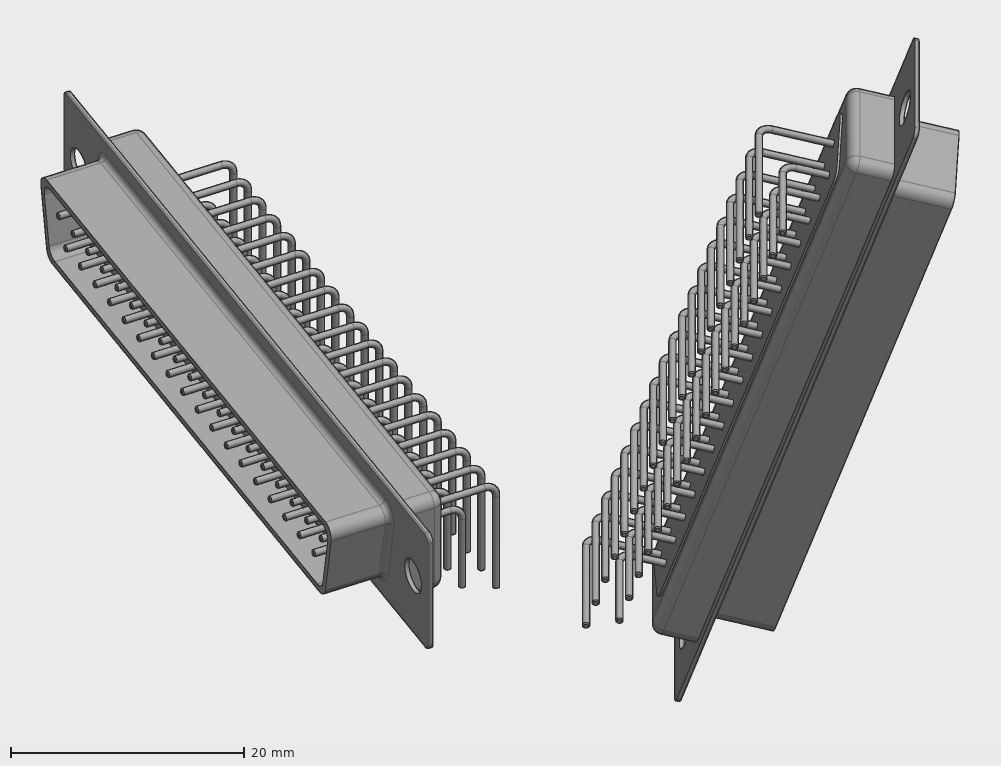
import cadquery as cq
import math

plate_length = 69.4
plate_height = 12.5
plate_thickness = 0.4
plate_corner_radius = 0.7
plate_edge_fillet = 0.15
mount_hole_diameter = 3.2
mount_hole_spacing = 63.5

shroud_depth = 5.75
shroud_height = 8.4
shroud_top_width = 55.6
shroud_side_angle = 10.0
shroud_corner_radius = 1.1
shroud_wall = 0.55
shroud_root_fillet = 0.55
cavity_depth = 3.7

housing_length = 57.7
housing_height = 10.3
housing_rear_y = 4.5
housing_corner_radius = 1.05
housing_rear_fillet = 1.0

insulator_step = 0.2

pin_diameter = 0.64
upper_pin_count = 19
upper_row_length = 49.9
row_spacing = 2.6
upper_row_z = 1.2
pin_tip_recess = 0.3
pin_end_chamfer = 0.105
pin_bend_radius = 1.2
overall_depth = 17.5
overall_height = 16.4

pin_radius = pin_diameter / 2
pin_pitch = upper_row_length / (upper_pin_count - 1)
pin_tip_y = pin_tip_recess - shroud_depth
upper_leg_y = overall_depth - shroud_depth - pin_radius
leg_bottom_z = plate_height / 2 - overall_height

select_margin = 0.1


def box_from_front(length, height, front_y, depth):
    """Rectangular block centred on the Y axis, running rearward from front_y."""
    return cq.Workplane("XZ", origin=(0, front_y, 0)).rect(length, height).extrude(-depth)


def d_block(inset, front_y, depth):
    """Trapezoid block with its sides moved inward by inset from the shroud's outer sides."""
    angle = math.radians(shroud_side_angle)
    half_height = shroud_height / 2 - inset
    outer_mid_half_width = shroud_top_width / 2 - shroud_height / 2 * math.tan(angle)
    mid_half_width = outer_mid_half_width - inset / math.cos(angle)
    taper = half_height * math.tan(angle)
    corners = [
        (-mid_half_width - taper, half_height),
        (mid_half_width + taper, half_height),
        (mid_half_width - taper, -half_height),
        (-mid_half_width + taper, -half_height),
    ]
    block = cq.Workplane("XZ", origin=(0, front_y, 0)).polyline(corners).close().extrude(-depth)
    return block.edges("|Y").fillet(shroud_corner_radius)


def make_plate_and_shroud():
    plate = box_from_front(plate_length, plate_height, 0, plate_thickness)
    plate = plate.edges("|Y").fillet(plate_corner_radius)
    plate = plate.faces("<Y").edges().fillet(plate_edge_fillet)
    body = plate.union(d_block(0, -shroud_depth, shroud_depth))
    root_edges = cq.selectors.BoxSelector(
        (-shroud_top_width / 2, -select_margin, -shroud_height / 2 - select_margin),
        (shroud_top_width / 2, select_margin, shroud_height / 2 + select_margin),
    )
    body = body.edges(root_edges).fillet(shroud_root_fillet)
    body = body.cut(d_block(shroud_wall, -shroud_depth, cavity_depth))
    holes = (
        cq.Workplane("XZ")
        .pushPoints([(-mount_hole_spacing / 2, 0), (mount_hole_spacing / 2, 0)])
        .circle(mount_hole_diameter / 2)
        .extrude(-plate_thickness)
    )
    return body.cut(holes)


def make_housing():
    housing = box_from_front(housing_length, housing_height, 0, housing_rear_y)
    housing = housing.edges("|Y").fillet(housing_corner_radius)
    housing = housing.faces(">Y").edges().fillet(housing_rear_fillet)
    return housing.union(d_block(shroud_wall, 0, housing_rear_y + insulator_step))


def make_pin(x, row_z, leg_y):
    """Round pin that runs rearward, then bends straight down."""
    bend_start_y = leg_y - pin_bend_radius
    bend_end_z = row_z - pin_bend_radius
    bend_mid_y = bend_start_y + pin_bend_radius * math.sin(math.pi / 4)
    bend_mid_z = bend_end_z + pin_bend_radius * math.cos(math.pi / 4)
    path = (
        cq.Workplane("YZ", origin=(x, 0, 0))
        .moveTo(pin_tip_y, row_z)
        .lineTo(bend_start_y, row_z)
        .threePointArc((bend_mid_y, bend_mid_z), (leg_y, bend_end_z))
        .lineTo(leg_y, leg_bottom_z)
    )
    profile = cq.Workplane("XZ", origin=(x, pin_tip_y, row_z)).circle(pin_radius)
    pin = profile.sweep(path)
    return pin.faces("<Y or <Z").edges().chamfer(pin_end_chamfer)


def make_pin_row(count, row_z, leg_y):
    first_x = -pin_pitch * (count - 1) / 2
    return [make_pin(first_x + index * pin_pitch, row_z, leg_y).val() for index in range(count)]


upper_pins = make_pin_row(upper_pin_count, upper_row_z, upper_leg_y)
lower_pins = make_pin_row(upper_pin_count - 1, upper_row_z - row_spacing, upper_leg_y - row_spacing)

connector = make_plate_and_shroud().union(make_housing())
result = cq.Workplane("XY").newObject([connector.val().fuse(*upper_pins, *lower_pins)])